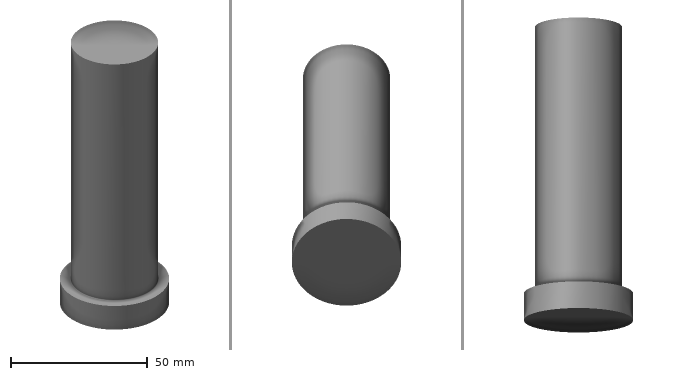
import cadquery as cq

total_length = 110.0
head_diameter = 40.0
head_height = 10.0
shank_diameter = 32.0
root_fillet = 0.3

head_radius = head_diameter / 2
shank_radius = shank_diameter / 2

half_section = (
    cq.Workplane("XZ")
    .lineTo(-head_radius, 0)
    .lineTo(-head_radius, head_height)
    .lineTo(-shank_radius - root_fillet, head_height)
    .radiusArc((-shank_radius, head_height + root_fillet), -root_fillet)
    .lineTo(-shank_radius, total_length)
    .lineTo(0, total_length)
    .close()
)

result = half_section.revolve(360, (0, 0, 0), (0, 1, 0))